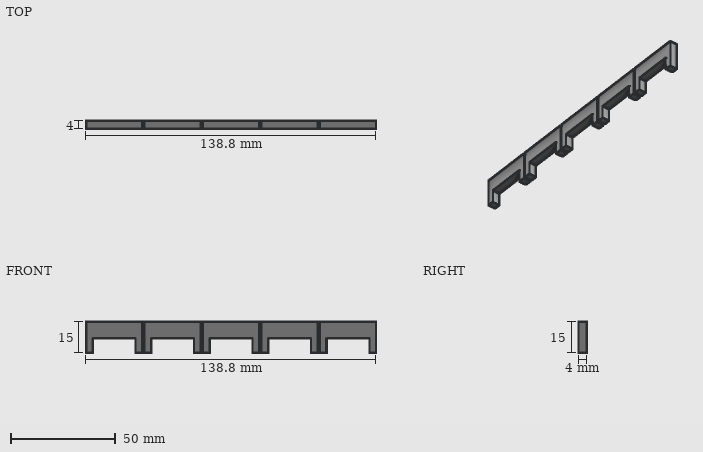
import cadquery as cq

total_length = 138.8
clip_count = 5
clip_gap = 1.0
clip_length = (total_length - (clip_count - 1) * clip_gap) / clip_count
clip_pitch = clip_length + clip_gap

clip_thickness = 4.0
clip_height = 15.0

leg_height = 7.0
right_leg_width = 3.3
left_leg_front_width = 3.0
leg_chamfer = 0.39
left_leg_width = left_leg_front_width + leg_chamfer

opening_left = left_leg_width - clip_length / 2
opening_right = clip_length / 2 - right_leg_width
front_y = -clip_thickness / 2
back_y = clip_thickness / 2


def make_opening():
    """Space between the legs, widened at the front left corner by the leg chamfer."""
    return (
        cq.Workplane("XY")
        .moveTo(opening_left - leg_chamfer, front_y)
        .lineTo(opening_right, front_y)
        .lineTo(opening_right, back_y)
        .lineTo(opening_left, back_y)
        .lineTo(opening_left, front_y + leg_chamfer)
        .close()
        .extrude(leg_height)
    )


def make_clip(center_x):
    """One clip: a flat block with the opening cut up from its bottom face."""
    block = cq.Workplane("XY").box(
        clip_length, clip_thickness, clip_height, centered=(True, True, False)
    )
    return block.cut(make_opening()).translate((center_x, 0, 0))


first_center_x = (clip_length - total_length) / 2
clips = [make_clip(first_center_x + index * clip_pitch) for index in range(clip_count)]

result = cq.Compound.makeCompound([clip.solids().val() for clip in clips])